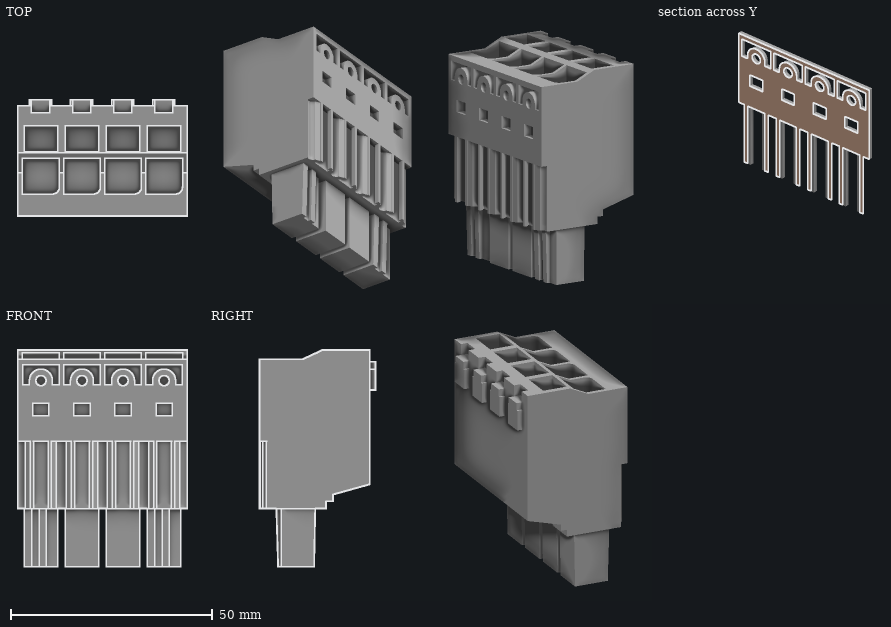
import cadquery as cq

POLE_COUNT = 4
POLE_PITCH = 10.2
POLE_CENTERS = [(i - (POLE_COUNT - 1) / 2) * POLE_PITCH for i in range(POLE_COUNT)]

HOUSING_WIDTH = 42.1
HOUSING_TOP = 53.9
HOUSING_BACK = 27.45
SLOPE_BACK = 15.75
SLOPE_FRONT = 10.8
FRONT_TOP = 51.6
BACK_FOOT = 20.5
UNDERCUT_Y = 18.3
UNDERCUT_Z = 17.95
STEP_Y = 16.6
STEP_Z = 16.3
BASE_Z = 14.45

POCKET_FLOOR = 46.85
REAR_POCKET_WIDTH = 8.4
REAR_POCKET_FRONT = 15.9
REAR_POCKET_BACK = 22.4
FRONT_POCKET_WIDTH = 9.15
FRONT_POCKET_FRONT = 5.45
FRONT_POCKET_BACK = 14.3
FRONT_POCKET_RADIUS = 1.7

RECESS_WIDTH = 9.05
RECESS_BOTTOM = 45.3
RECESS_TOP = 50.15
RECESS_DEPTH = 4.3
BOSS_RADIUS = 2.85
BOSS_Z = 46.25
TEST_HOLE_DIAMETER = 2.55

WINDOW_WIDTH = 4.0
WINDOW_BOTTOM = 37.5
WINDOW_TOP = 40.65
WINDOW_DEPTH = 2.05

GROOVE_TOP = 31.2
SLOT_WIDTH = 3.6
SLOT_LIP = 1.1
SLOT_FLOOR = 1.85
SLOT_INNER_WIDTH = 5.3
FLUTE_HALF_WIDTH = 2.5
FLUTE_LIP_DEPTH = 0.2
FLUTE_ARC_HALF_WIDTH = 1.25
FLUTE_ARC_DEPTH = 0.85
FLUTE_BOTTOM = 2.0
FLUTE_RADIUS = 1.4

PLUG_WIDTH = 8.35
END_PLUG_FRONT_TOP = 4.2
PLUG_FRONT_TIP = 4.65
PLUG_BACK_TOP = 13.9
PLUG_BACK_TIP = 13.65
KEY_FLOOR_Y = 5.5
KEY_SLOT_START = 1.9
KEY_SLOT_WIDTH = 1.9
KEY_STEP_START = 5.45

LEVER_OFFSET = -0.1
LEVER_WIDTH = 5.5
LEVER_NECK_WIDTH = 4.5
LEVER_BOTTOM = 43.9
LEVER_SHOULDER = 49.1
LEVER_TOP = 51.0
LEVER_BACK = 28.9
NOTCH_FRONT = 25.65


def box(x_min, x_max, y_min, y_max, z_min, z_max):
    """Axis-aligned block between the given limits."""
    return cq.Workplane("XY").box(
        x_max - x_min, y_max - y_min, z_max - z_min, centered=False
    ).translate((x_min, y_min, z_min))


def centered_box(x, width, y_min, y_max, z_min, z_max):
    """Axis-aligned block whose width is centred on x."""
    return box(x - width / 2, x + width / 2, y_min, y_max, z_min, z_max)


def housing_block():
    profile = [
        (0, BASE_Z),
        (0, FRONT_TOP),
        (SLOPE_FRONT, FRONT_TOP),
        (SLOPE_BACK, HOUSING_TOP),
        (HOUSING_BACK, HOUSING_TOP),
        (HOUSING_BACK, BACK_FOOT),
        (UNDERCUT_Y, UNDERCUT_Z),
        (UNDERCUT_Y, STEP_Z),
        (STEP_Y, STEP_Z),
        (STEP_Y, BASE_Z),
    ]
    return cq.Workplane("YZ").polyline(profile).close().extrude(HOUSING_WIDTH / 2, both=True)


def rear_pocket(x):
    return centered_box(
        x, REAR_POCKET_WIDTH, REAR_POCKET_FRONT, REAR_POCKET_BACK, POCKET_FLOOR, HOUSING_TOP
    )


def front_pocket(x):
    """Wire entry pocket with one rounded front corner."""
    pocket = centered_box(
        x, FRONT_POCKET_WIDTH, FRONT_POCKET_FRONT, FRONT_POCKET_BACK, POCKET_FLOOR, HOUSING_TOP
    )
    return pocket.edges("|Z and >X and <Y").fillet(FRONT_POCKET_RADIUS)


def test_point(x):
    """Recess with the arched boss left standing, and the hole in the boss."""
    recess = centered_box(x, RECESS_WIDTH, 0, RECESS_DEPTH, RECESS_BOTTOM, RECESS_TOP)
    boss_axis = cq.Workplane("XZ").center(x, BOSS_Z)
    boss_arch = boss_axis.circle(BOSS_RADIUS).extrude(-RECESS_DEPTH)
    boss_foot = centered_box(x, 2 * BOSS_RADIUS, 0, RECESS_DEPTH, RECESS_BOTTOM, BOSS_Z)
    hole = boss_axis.circle(TEST_HOLE_DIAMETER / 2).extrude(-RECESS_DEPTH)
    return recess.cut(boss_arch).cut(boss_foot).union(hole)


def window(x):
    return centered_box(x, WINDOW_WIDTH, 0, WINDOW_DEPTH, WINDOW_BOTTOM, WINDOW_TOP)


def t_slot(x):
    mouth = centered_box(x, SLOT_WIDTH, 0, SLOT_LIP, BASE_Z, GROOVE_TOP)
    inner = centered_box(x, SLOT_INNER_WIDTH, SLOT_LIP, SLOT_FLOOR, BASE_Z, GROOVE_TOP)
    return mouth.union(inner)


def flute(x):
    """Groove with flared, stepped sides and a bottom of two arcs, centred on x."""
    return (
        cq.Workplane("XY", origin=(x, 0, BASE_Z))
        .moveTo(-FLUTE_HALF_WIDTH, 0)
        .lineTo(-FLUTE_HALF_WIDTH, FLUTE_LIP_DEPTH)
        .lineTo(-FLUTE_ARC_HALF_WIDTH, FLUTE_ARC_DEPTH)
        .radiusArc((0, FLUTE_BOTTOM), FLUTE_RADIUS)
        .radiusArc((FLUTE_ARC_HALF_WIDTH, FLUTE_ARC_DEPTH), FLUTE_RADIUS)
        .lineTo(FLUTE_HALF_WIDTH, FLUTE_LIP_DEPTH)
        .lineTo(FLUTE_HALF_WIDTH, 0)
        .close()
        .extrude(GROOVE_TOP - BASE_Z)
    )


def plug(x, front_top):
    """Plug whose front face starts at front_top below the housing."""
    profile = [
        (PLUG_FRONT_TIP, 0),
        (front_top, BASE_Z),
        (PLUG_BACK_TOP, BASE_Z),
        (PLUG_BACK_TIP, 0),
    ]
    side = cq.Workplane("YZ", origin=(x, 0, 0)).polyline(profile).close()
    return side.extrude(PLUG_WIDTH / 2, both=True)


def key_cuts(x):
    """Coding groove and corner step in the front of an end plug."""
    left = x - PLUG_WIDTH / 2
    slot_start = left + KEY_SLOT_START
    slot = box(slot_start, slot_start + KEY_SLOT_WIDTH, 0, KEY_FLOOR_Y, 0, BASE_Z)
    step = box(left + KEY_STEP_START, left + PLUG_WIDTH, 0, KEY_FLOOR_Y, 0, BASE_Z)
    return slot.union(step)


def lever_notch(x):
    return centered_box(
        x + LEVER_OFFSET, LEVER_NECK_WIDTH, NOTCH_FRONT, HOUSING_BACK, LEVER_BOTTOM, HOUSING_TOP
    )


def make_housing():
    housing = housing_block()
    for x in POLE_CENTERS:
        for cut in (rear_pocket, front_pocket, test_point, window, t_slot, lever_notch):
            housing = housing.cut(cut(x))
    for i in range(POLE_COUNT + 1):
        housing = housing.cut(flute((i - POLE_COUNT / 2) * POLE_PITCH))
    for x in POLE_CENTERS[1:-1]:
        housing = housing.union(plug(x, PLUG_FRONT_TIP))
    for x in (POLE_CENTERS[0], POLE_CENTERS[-1]):
        housing = housing.union(plug(x, END_PLUG_FRONT_TOP))
        housing = housing.cut(key_cuts(x))
    return housing


def make_lever(x):
    """Neck filling the notch, with a wider plate behind the housing."""
    center = x + LEVER_OFFSET
    neck = centered_box(center, LEVER_NECK_WIDTH, NOTCH_FRONT, LEVER_BACK, LEVER_BOTTOM, LEVER_TOP)
    plate = centered_box(center, LEVER_WIDTH, HOUSING_BACK, LEVER_BACK, LEVER_BOTTOM, LEVER_SHOULDER)
    return neck.union(plate)


housing = make_housing()
levers = [make_lever(x) for x in POLE_CENTERS]

result = cq.Compound.makeCompound([housing.val(), *[lever.val() for lever in levers]])